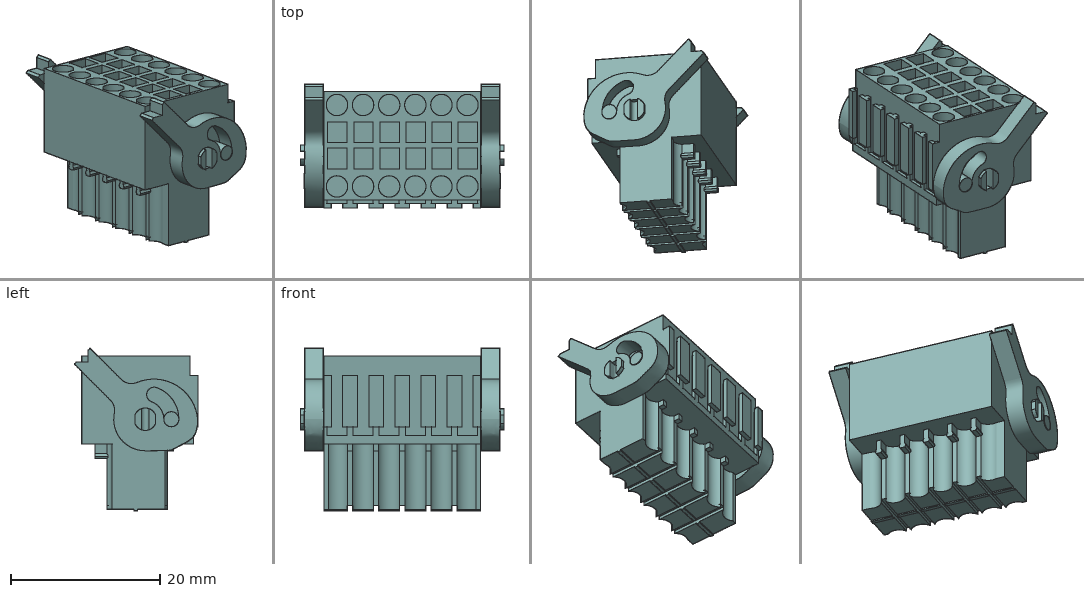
import cadquery as cq
import math


overall_length = 27.3
positions = 6

head_length = 21.0
head_back = 8.55
head_front = -6.0
head_top = 8.5
head_bottom = -3.33

opening_depth = 1.5
wire_hole_diameter = 2.87
wire_hole_rows = (6.72, -4.2)
test_window_length = 2.6
test_window_width = 2.75
test_window_rows = (3.03, -0.46)
test_window_shift = 0.05

rail_top = 5.87
rail_head_bottom = -1.05
rail_head_width = 1.97
rail_head_depth = 0.6
rail_neck_width = 0.82
rail_neck_depth = 0.5
ledge_top = -2.18

tower_bottom = -12.1
tower_back = 5.15
tower_front = -2.98
scallop_radius = 1.6
scallop_center_offset = 0.8
end_setback_front = 0.33
end_setback_back = 0.7
notch_height = 0.52
ridge_center_y = 1.28
ridge_width = 0.5
ridge_height = 0.2

block_depth = 0.8
block_height = 0.93
catch_back = 6.77
catch_tooth_front = 5.02
catch_stem_height = 1.28
catch_ramp_height = 0.38
catch_nose_height = 0.3
catch_tooth_overhang = 0.16

lever_gap = 0.08
lever_thickness = 2.5
lever_hub_radius = 4.23
lever_cam_radius = 5.9
cam_center_y = -1.15
cam_center_z = -0.52
chin_points = ((-6.35, -2.45), (-4.4, -3.69))
arm_length = 11.95
arm_width = 3.0
arm_angle = 45.0
arm_notch_depth = 1.06
arm_blend_radius = 1.9

pivot_radius = 1.5
pivot_flat_width = 2.75
pivot_slot_width = 1.0
pivot_slot_depth = 1.5
guide_pin_radius = 1.0
guide_pin_distance = 3.5
guide_pin_projection = 0.1
guide_slot_sweep = 70.0

half_head = head_length / 2
pitch = head_length / positions
cell_centers = [(i - (positions - 1) / 2) * pitch for i in range(positions)]
cell_borders = [(i - positions / 2) * pitch for i in range(positions + 1)]
web_centers = cell_borders[1:-1]
scallop_half_width = math.sqrt(scallop_radius**2 - scallop_center_offset**2)
web_width = pitch - 2 * scallop_half_width
rail_neck_front = head_front - rail_neck_depth
rail_front = rail_neck_front - rail_head_depth
lever_inner = half_head + lever_gap
lever_outer = lever_inner + lever_thickness


def box(x_range, y_range, z_range):
    """Axis-aligned block between the given limits."""
    (x0, x1), (y0, y1), (z0, z1) = x_range, y_range, z_range
    return cq.Workplane("XY").box(x1 - x0, y1 - y0, z1 - z0, centered=False).translate((x0, y0, z0))


def side_sketch(x):
    """Workplane at X = x whose local axes are Y and Z; it extrudes towards +X."""
    return cq.Workplane("YZ", origin=(x, 0, 0))


def make_head():
    head = box((-half_head, half_head), (head_front, head_back), (head_bottom, head_top))
    floor = head_top - opening_depth
    holes = (
        cq.Workplane("XY", origin=(0, 0, floor))
        .pushPoints([(x, y) for x in cell_centers for y in wire_hole_rows])
        .circle(wire_hole_diameter / 2)
        .extrude(opening_depth)
    )
    windows = (
        cq.Workplane("XY", origin=(0, 0, floor))
        .pushPoints([(x + test_window_shift, y) for x in cell_centers for y in test_window_rows])
        .rect(test_window_length, test_window_width)
        .extrude(opening_depth)
    )
    return head.cut(holes).cut(windows)


def make_rails():
    """T-shaped rails on the cell borders, half rails at the ends, and the strip below them."""
    rails = box((-half_head, half_head), (rail_neck_front, head_front), (head_bottom, ledge_top))
    for x in cell_borders:
        neck = (max(x - rail_neck_width / 2, -half_head), min(x + rail_neck_width / 2, half_head))
        face = (max(x - rail_head_width / 2, -half_head), min(x + rail_head_width / 2, half_head))
        rails = rails.union(box(neck, (rail_neck_front, head_front), (ledge_top, rail_top)))
        rails = rails.union(box(face, (rail_front, rail_neck_front), (rail_head_bottom, rail_top)))
    return rails


def make_tower():
    """Scalloped block with webs between the cells, notched webs and a ridge underneath."""
    height = head_bottom - tower_bottom
    z_range = (tower_bottom, head_bottom)
    tower = box((-half_head, half_head), (tower_front, tower_back), z_range)

    for side in (-1, 1):
        end_range = sorted((side * half_head, side * cell_centers[-1]))
        front = (tower_front, tower_front + end_setback_front)
        back = (tower_back - end_setback_back, tower_back)
        tower = tower.cut(box(end_range, front, z_range)).cut(box(end_range, back, z_range))

    scallop_axes = (tower_front - scallop_center_offset, tower_back + scallop_center_offset)
    scallops = (
        cq.Workplane("XY", origin=(0, 0, tower_bottom))
        .pushPoints([(x, y) for x in cell_centers for y in scallop_axes])
        .circle(scallop_radius)
        .extrude(height)
    )
    ridge_y = (ridge_center_y - ridge_width / 2, ridge_center_y + ridge_width / 2)
    ridge = box((-half_head, half_head), ridge_y, (tower_bottom - ridge_height, tower_bottom))
    tower = tower.cut(scallops).union(ridge)

    notch_z = (tower_bottom - ridge_height, tower_bottom + notch_height)
    for x in web_centers:
        notch = box((x - web_width / 2, x + web_width / 2), (tower_front, tower_back), notch_z)
        tower = tower.cut(notch)
    return tower


def make_front_block(x):
    """Stop block in front of a web."""
    x_range = (x - web_width / 2, x + web_width / 2)
    y_range = (tower_front - block_depth, tower_front)
    return box(x_range, y_range, (head_bottom - block_height, head_bottom))


def make_back_catch(x):
    """Catch behind a web: a straight stem with a tooth that flares and then tapers."""
    stem = web_width / 2
    tooth = stem + catch_tooth_overhang
    ramp_top = head_bottom - catch_stem_height
    ramp_bottom = ramp_top - catch_ramp_height
    nose_bottom = ramp_bottom - catch_nose_height
    upper = box((x - stem, x + stem), (tower_back, catch_back), (ramp_top, head_bottom))
    lower = (
        cq.Workplane("XZ", origin=(x, catch_back, 0))
        .moveTo(-stem, ramp_top)
        .lineTo(-tooth, ramp_bottom)
        .lineTo(-stem, nose_bottom)
        .lineTo(stem, nose_bottom)
        .lineTo(tooth, ramp_bottom)
        .lineTo(stem, ramp_top)
        .close()
        .extrude(catch_back - catch_tooth_front)
    )
    return upper.union(lower)


def pivot_outline(x, length):
    """Round bar with two flats facing front and back."""
    bar = side_sketch(x).circle(pivot_radius).extrude(length)
    flats = side_sketch(x).rect(pivot_flat_width, 2 * pivot_radius).extrude(length)
    return bar.intersect(flats)


def make_pins():
    """Slotted pivot and guide pin on the +X end."""
    tip = overall_length / 2
    pivot = pivot_outline(half_head, tip - half_head)

    slot_radius = pivot_slot_width / 2
    floor_axis = tip - pivot_slot_depth + slot_radius
    slot_y = (-slot_radius, slot_radius)
    slot = box((floor_axis, tip), slot_y, (-pivot_radius, pivot_radius))
    floor = (
        cq.Workplane("XY", origin=(floor_axis, 0, -pivot_radius))
        .circle(slot_radius)
        .extrude(2 * pivot_radius)
    )
    guide_pin = (
        side_sketch(half_head)
        .center(-guide_pin_distance, 0)
        .circle(guide_pin_radius)
        .extrude(lever_outer + guide_pin_projection - half_head)
    )
    return pivot.cut(slot).cut(floor).union(guide_pin)


def make_housing():
    housing = make_head().union(make_rails()).union(make_tower())
    for x in web_centers:
        housing = housing.union(make_front_block(x)).union(make_back_catch(x))
    pins = make_pins()
    return housing.union(pins).union(pins.mirror("YZ"))


def make_lever_head():
    """Cam-shaped disc: hub circle at the back and bottom, larger cam circle at the front and top."""
    nose = (cam_center_y - math.sqrt(lever_cam_radius**2 - cam_center_z**2), 0)
    diagonal = math.sqrt(0.5)
    cam_mid = (cam_center_y - diagonal * lever_cam_radius, cam_center_z + diagonal * lever_cam_radius)

    root_y = diagonal * lever_hub_radius
    cam_root = (root_y, cam_center_z + math.sqrt(lever_cam_radius**2 - (root_y - cam_center_y) ** 2))
    hub_root = (root_y, root_y)
    hub_mid = (root_y, -root_y)
    hub_bottom = (0, -lever_hub_radius)
    return (
        side_sketch(lever_inner)
        .moveTo(*cam_root)
        .threePointArc(cam_mid, nose)
        .spline([*chin_points, hub_bottom], tangents=[(0, -1), (1, 0)], includeCurrent=True)
        .threePointArc(hub_mid, hub_root)
        .close()
        .extrude(lever_thickness)
    )


def make_lever_arm():
    """Straight arm with a V notch in its end, tilted up towards the back."""
    half_width = arm_width / 2
    arm = (
        side_sketch(lever_inner)
        .moveTo(0, -half_width)
        .lineTo(arm_length, -half_width)
        .lineTo(arm_length, -arm_notch_depth)
        .lineTo(arm_length - arm_notch_depth, 0)
        .lineTo(arm_length, arm_notch_depth)
        .lineTo(arm_length, half_width)
        .lineTo(0, half_width)
        .close()
        .extrude(lever_thickness)
    )
    return arm.rotate((0, 0, 0), (1, 0, 0), arm_angle)


def guide_slot_point(radius, angle):
    """Point at a distance from the pivot axis, turned up from the guide pin by the angle in degrees."""
    turn = math.radians(angle)
    return (-radius * math.cos(turn), radius * math.sin(turn))


def make_guide_slot():
    """Arc slot about the pivot that starts at the guide pin."""
    inner = guide_pin_distance - guide_pin_radius
    outer = guide_pin_distance + guide_pin_radius
    middle = guide_slot_sweep / 2
    end_turn = math.radians(guide_slot_sweep)
    end_y, end_z = guide_slot_point(guide_pin_distance, guide_slot_sweep)
    end_cap = (end_y + guide_pin_radius * math.sin(end_turn), end_z + guide_pin_radius * math.cos(end_turn))
    return (
        side_sketch(lever_inner)
        .moveTo(-inner, 0)
        .threePointArc(guide_slot_point(inner, middle), guide_slot_point(inner, guide_slot_sweep))
        .threePointArc(end_cap, guide_slot_point(outer, guide_slot_sweep))
        .threePointArc(guide_slot_point(outer, middle), (-outer, 0))
        .threePointArc((-guide_pin_distance, -guide_pin_radius), (-inner, 0))
        .close()
        .extrude(lever_thickness)
    )


arm_root_corners = cq.selectors.BoxSelector(
    (lever_inner, 0, 0),
    (lever_outer, lever_cam_radius, lever_cam_radius),
)


def make_lever(side):
    """Lever on the +X end (side = 1) or the -X end (side = -1)."""
    lever = make_lever_head().union(make_lever_arm())
    lever = lever.edges("|X").edges(arm_root_corners).fillet(arm_blend_radius)
    lever = lever.cut(pivot_outline(lever_inner, lever_thickness)).cut(make_guide_slot())
    return lever if side > 0 else lever.mirror("YZ")


housing = make_housing()
levers = [make_lever(side) for side in (-1, 1)]

result = cq.Compound.makeCompound([housing.val(), *[lever.val() for lever in levers]])